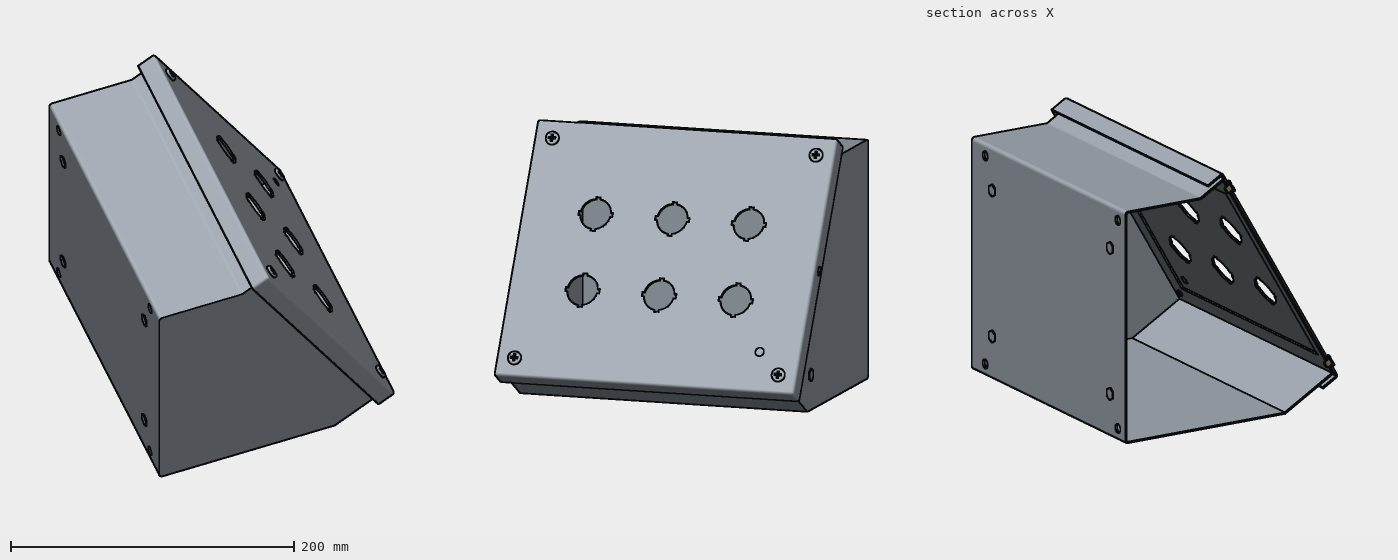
import cadquery as cq
import math


sheet = 1.52
lid_bend_radius = 2.0
back_bend_radius = 2.8
throat_bend_radius = 3.7

slope_angle = 60.0
housing_width = 214.31
housing_height = 171.9
floor_depth = 132.9
mouth_length = 184.0
lip_width = 16.0

lid_width = 223.84
lid_length = 192.32
lid_depth = 14.29
lid_distance = 163.8

mount_hole_diameter = 6.76
mount_hole_pitch_x = 177.8
mount_hole_pitch_z = 154.0

stud_width_across_flats = 7.94
stud_height = 0.8
back_stud_pitch_x = 158.2
back_stud_pitch_z = 107.95
side_stud_y = 126.1
side_stud_z = 25.4

button_columns = 3
button_rows = 2
button_pitch = 57.15
button_hole_diameter = 22.5
button_notch_span = 25.3
button_notch_width = 3.2
vent_hole_diameter = 6.35
vent_hole_depth = 9.8

plug_diameter = 6.35
plug_x = -81.5
plug_along = -66.0

screw_pitch_x = 196.8
screw_pitch_along = 165.0
head_diameter = 9.5
head_height = 2.0
head_rounding = 0.6
shank_diameter = 4.8
shank_reach = 4.0
recess_span = 5.0
recess_width = 1.2
recess_depth = 1.2

slope_sin = math.sin(math.radians(slope_angle))
slope_cos = math.cos(math.radians(slope_angle))
mouth_middle = mouth_length / 2 - floor_depth * slope_cos
mouth_out = lid_distance - sheet
lip_inner_height = -2 * sheet
stud_corner_diameter = stud_width_across_flats / math.cos(math.pi / 6)


def slope_point(along, out):
    """(Y, Z) of a point given by its distances along and out from the X axis."""
    return (out * slope_sin - along * slope_cos, out * slope_cos + along * slope_sin)


def slope_point_at_level(along, z):
    """(Y, Z) of the point at height z on the line square to the slope at this distance along it."""
    return slope_point(along, (z - along * slope_sin) / slope_cos)


def on_lid(height=0.0):
    """Workplane at a height over the lid's outer face: X reversed, Y up the slope, Z outward."""
    middle_y, middle_z = slope_point(mouth_middle, lid_distance)
    plane = cq.Plane((0, middle_y, middle_z), (-1, 0, 0), (0, slope_sin, slope_cos))
    return cq.Workplane(plane).workplane(offset=height)


def lid_block(size_x, size_along, low, high):
    """Block over the middle of the lid, between two heights measured from its outer face."""
    return on_lid(low).rect(size_x, size_along).extrude(high - low)


def screw_rods(diameter, low, high):
    """Round rods on the four screw axes, between two heights."""
    corners = on_lid(low).rect(screw_pitch_x, screw_pitch_along, forConstruction=True).vertices()
    return corners.circle(diameter / 2).extrude(high - low)


def plug_rod():
    return on_lid().center(-plug_x, plug_along).circle(plug_diameter / 2).extrude(-sheet)


def housing_block(inset):
    """Solid in the outline of the housing, with every wall moved in by the inset."""
    low_edge = mouth_middle - mouth_length / 2 + inset
    high_edge = mouth_middle + mouth_length / 2 - inset
    roof = housing_height - inset
    throat = slope_point_at_level(high_edge, roof)
    outline = [
        (inset, inset),
        slope_point_at_level(low_edge, inset),
        slope_point(low_edge, mouth_out - inset),
        slope_point(high_edge, mouth_out - inset),
        throat,
        (inset, roof),
    ]
    block = cq.Workplane("YZ").polyline(outline).close().extrude(housing_width / 2 - inset, both=True)
    block = block.edges("|X").edges("<Y").fillet(back_bend_radius - inset)
    throat_edge = cq.selectors.NearestToPointSelector((0, *throat))
    return block.edges("|X").edges(throat_edge).fillet(throat_bend_radius + inset)


def stud_head(center, outward):
    """Hexagonal head with one corner up, raised from a wall."""
    plane = cq.Plane(center, (0, 0, 1), outward)
    return cq.Workplane(plane).polygon(6, stud_corner_diameter).extrude(stud_height)


def make_housing():
    body = housing_block(0).cut(housing_block(sheet))

    opening_x = housing_width - 2 * lip_width
    opening_along = mouth_length - 2 * lip_width
    body = body.cut(lid_block(opening_x, opening_along, lip_inner_height, 0))
    body = body.cut(screw_rods(shank_diameter, lip_inner_height, 0))

    mid_height = housing_height / 2
    mount_holes = (
        cq.Workplane("XZ", origin=(0, 0, mid_height))
        .rect(mount_hole_pitch_x, mount_hole_pitch_z, forConstruction=True)
        .vertices()
        .circle(mount_hole_diameter / 2)
        .extrude(-sheet)
    )
    body = body.cut(mount_holes)

    for x in (-back_stud_pitch_x / 2, back_stud_pitch_x / 2):
        for z in (mid_height - back_stud_pitch_z / 2, mid_height + back_stud_pitch_z / 2):
            body = body.union(stud_head((x, 0, z), (0, -1, 0)))
    side_stud = stud_head((-housing_width / 2, side_stud_y, side_stud_z), (-1, 0, 0))
    return body.union(side_stud)


def button_openings():
    """Round holes, each with four keying notches."""
    def grid():
        return on_lid().rarray(button_pitch, button_pitch, button_columns, button_rows)

    holes = grid().circle(button_hole_diameter / 2).extrude(-sheet)
    notches_across = grid().rect(button_notch_span, button_notch_width).extrude(-sheet)
    notches_along = grid().rect(button_notch_width, button_notch_span).extrude(-sheet)
    return holes.union(notches_across).union(notches_along)


def make_lid():
    outward = on_lid().plane.zDir
    lid = lid_block(lid_width, lid_length, -lid_depth, 0)
    lid = lid.edges(cq.selectors.ParallelDirSelector(outward)).fillet(lid_bend_radius)
    lid = lid.faces(cq.selectors.DirectionMinMaxSelector(outward)).edges().fillet(lid_bend_radius)
    lid = lid.cut(lid_block(lid_width - 2 * sheet, lid_length - 2 * sheet, -lid_depth, -sheet))
    lid = lid.cut(button_openings())
    lid = lid.cut(screw_rods(shank_diameter, -sheet, 0))
    lid = lid.cut(plug_rod())

    vent_y, vent_z = slope_point(mouth_middle, lid_distance - vent_hole_depth)
    vent = cq.Workplane("YZ", origin=(-lid_width / 2, vent_y, vent_z))
    return lid.cut(vent.circle(vent_hole_diameter / 2).extrude(sheet))


def make_screws():
    """Round-headed cross-recessed screws through the lid and the lip."""
    outward = on_lid().plane.zDir
    screws = screw_rods(head_diameter, 0, head_height)
    screws = screws.faces(cq.selectors.DirectionMinMaxSelector(outward)).edges().fillet(head_rounding)
    for size_x, size_along in ((recess_span, recess_width), (recess_width, recess_span)):
        corners = on_lid(head_height).rect(screw_pitch_x, screw_pitch_along, forConstruction=True).vertices()
        screws = screws.cut(corners.rect(size_x, size_along).extrude(-recess_depth))
    return screws.union(screw_rods(shank_diameter, -shank_reach, 0))


housing = make_housing()
lid = make_lid()
plug = plug_rod()
screws = make_screws()
result = cq.Compound.makeCompound([housing.val(), lid.val(), plug.val(), *screws.vals()])